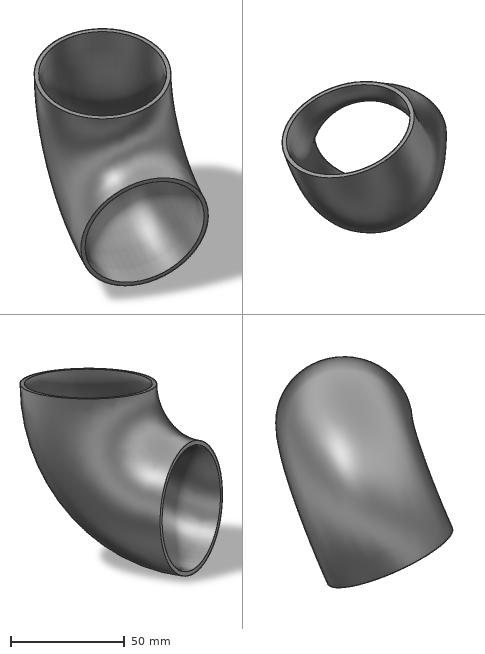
import cadquery as cq

outer_diameter = 60.3
wall_thickness = 2.0
bend_radius = 51.0
bend_angle = 90.0

outer_radius = outer_diameter / 2
inner_radius = outer_radius - wall_thickness


def make_elbow():
    """Revolve the ring-shaped end face about the bend axis.

    The bend axis is parallel to Y through X = bend_radius. The upper end face
    is centred on the origin and opens toward +Z; the other opens toward +X.
    """
    ring = cq.Workplane("XY").circle(outer_radius).circle(inner_radius)
    axis_start = (bend_radius, 0)
    axis_end = (bend_radius, -1)
    return ring.revolve(bend_angle, axis_start, axis_end)


result = make_elbow()